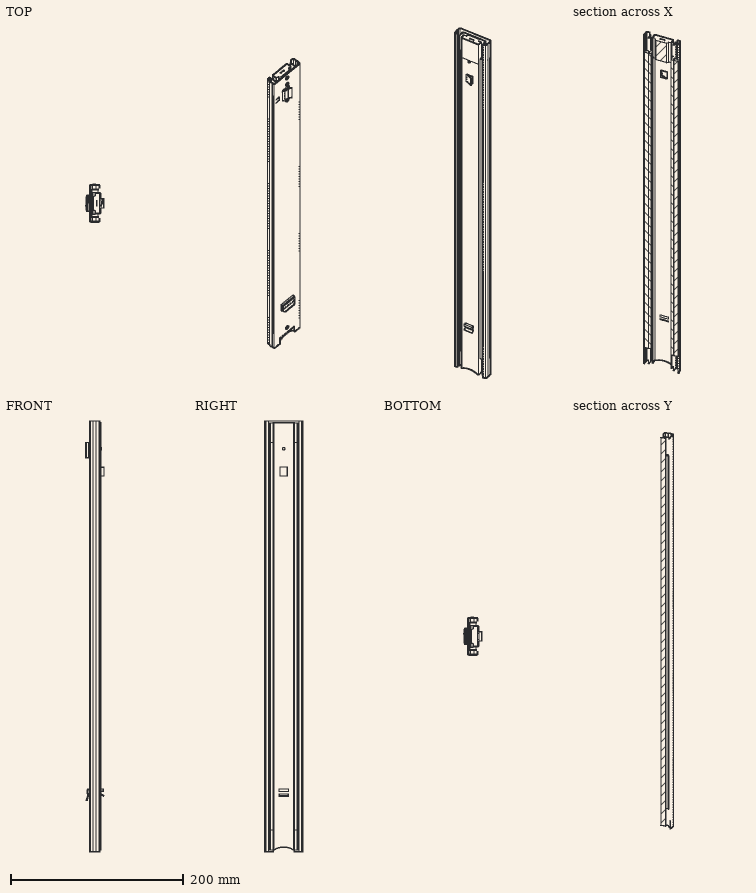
import cadquery as cq
import math

LENGTH = 500.0
SHEET = 1.2
RAIL_STEP = 1.75

OVERALL_X = 21.5
HOOK_REACH = OVERALL_X / 2

OUTER_BACK = -6.0
OUTER_FRONT = 6.0
FLANGE_Y = 22.0
RACE_Y = 22.5
RACE_START = -2.25
RACE_END = 1.5
OUTER_BEND = 1.8
LIP_Y = 17.5
NOTCH_HALF = 12.0
NOTCH_HEIGHT = 10.5

ARCH_HALF = 11.0

MIDDLE_BACK = OUTER_BACK + RAIL_STEP
MIDDLE_FRONT = 4.5
MIDDLE_HALF = 16.5
MIDDLE_BEND = 1.5
MIDDLE_TOP = 247.5
MIDDLE_BOTTOM = -248.0
MIDDLE_ARCH_HEIGHT = 4.0

INNER_FRONT = 7.0
INNER_BACK = 0.5
INNER_HALF = 12.5
INNER_BEND = 1.5
INNER_LENGTH = 495.5
INNER_ARCH_HEIGHT = 3.0

RETAINER_LENGTH = 450.0
OUTER_RETAINER_BACK = -3.0
OUTER_RETAINER_FRONT = 1.5
INNER_RETAINER_WEB = 0.75
INNER_RETAINER_FRONT = 4.0

BLOCK_BACK = -2.0
BLOCK_BACK_HALF = 8.5
BLOCK_CHAMFER = 1.5
BLOCK_TOP = INNER_LENGTH / 2
BLOCK_HEIGHT = 30.0
SLOT_X = 2.25
SLOT_WIDTH = 1.0
SLOT_LENGTH = 6.0
SLOT_DEPTH = 5.0

HOLE_DIAMETER = 5.0
PILOT_DIAMETER = 3.0
PLAIN_HOLES = [230.5, 200.5]
PILOT_HOLES = [242.5, -230.5]

POCKET_SIZE = 6.0
POCKET_DEPTH = 0.85
POCKET_Y = 16.5
POCKET_Z = 216.0

BACK_HOOK_Z = 216.0
BACK_HOOK_LENGTH = 18.0
BACK_HOOK_PATH = [(OUTER_BACK, 9.0), (OUTER_BACK, 8.0), (-8.0, 6.0), (-8.5, 1.0), (-HOOK_REACH, -3.0)]

FRONT_HOOK_Z = 191.0
FRONT_HOOK_LENGTH = 10.5
FRONT_HOOK_PATH = [(INNER_FRONT, -5.5), (INNER_FRONT, -4.5), (HOOK_REACH, 4.0)]

SPRING_HALF = 9.5
SPRING_PATH = [(OUTER_BACK, -177.0), (-8.0, -177.0), (-9.0, -178.5), (-8.5, -185.5), (-10.0, -190.5)]
SPRING_CORNER = 3.5

INNER_TAB_HALF = 5.5
LEDGE_PATH = [(INNER_FRONT - SHEET / 2, -177.0), (10.0, -177.0)]
LEDGE_THICKNESS = 3.0
SLOPED_TAB_PATH = [(INNER_FRONT - SHEET / 2, -182.5), (HOOK_REACH, -184.5)]

STUD_DIAMETER = 3.0
STUD_HEIGHT = 1.0
STUD_Z = 217.5


def box(x_range, y_range, z_range):
    """Box between the given limits, each a (low, high) pair."""
    sizes = [high - low for low, high in (x_range, y_range, z_range)]
    corner = (x_range[0], y_range[0], z_range[0])
    return cq.Workplane("XY").box(*sizes, centered=False).translate(corner)


def centred(length, middle=0.0):
    """Limits of a length centred on the given place."""
    return (middle - length / 2, middle + length / 2)


def x_cylinder(diameter, x_range, z):
    """Cylinder along X in the plane y = 0."""
    disc = cq.Workplane("YZ", origin=(x_range[0], 0, z)).circle(diameter / 2)
    return disc.extrude(x_range[1] - x_range[0])


def offset_path(path, distance):
    """Open path moved sideways to its left by the distance, with mitred corners."""
    angles = [math.atan2(v1 - v0, u1 - u0) for (u0, v0), (u1, v1) in zip(path, path[1:])]
    moved = []
    for (u, v), before, after in zip(path, angles[:1] + angles, angles + angles[-1:]):
        middle = (before + after) / 2
        reach = distance / math.cos((after - before) / 2)
        moved.append((u - reach * math.sin(middle), v + reach * math.cos(middle)))
    return moved


def bent_strip(plane, path, thickness, half_length):
    """Sheet strip with one face on the path and its thickness to the path's left."""
    outline = path + offset_path(path, thickness)[::-1]
    return cq.Workplane(plane).polyline(outline).close().extrude(half_length, both=True)


def raise_hook(rail, path, web_x_range, z, length):
    """Rail with a window in its web and, over the window, a hook bent along the path."""
    window_y = sorted((path[1][1], path[-1][1]))
    window = box(web_x_range, window_y, centred(length, z))
    hook = bent_strip("XY", path, SHEET, length / 2).translate((0, 0, z))
    return rail.cut(window).union(hook)


def race_segment(side, base_y):
    """Full-length race bulge of circular-segment section, standing on the plane |y| = base_y."""
    crown = ((RACE_START + RACE_END) / 2, side * (base_y + RACE_Y - FLANGE_Y))
    return (
        cq.Workplane("XY", origin=(0, 0, -LENGTH / 2))
        .moveTo(RACE_START, side * base_y)
        .threePointArc(crown, (RACE_END, side * base_y))
        .close()
        .extrude(LENGTH)
    )


def make_spring_tab():
    """Spring tab with its lower corners rounded."""
    tab = bent_strip("XZ", SPRING_PATH, SHEET, SPRING_HALF)
    (root_x, root_z), (tip_x, tip_z) = SPRING_PATH[0], SPRING_PATH[-1]
    limits = box((tip_x, root_x), (-SPRING_HALF, SPRING_HALF), (tip_z, root_z))
    return tab.intersect(limits.faces("<Z").edges("|X").fillet(SPRING_CORNER))


def make_pocket_wedge():
    """Wedge that cuts the sloping square pocket."""
    low_y, high_y = centred(POCKET_SIZE, POCKET_Y)
    corners = [(OUTER_BACK, high_y), (OUTER_BACK, low_y), (OUTER_BACK + POCKET_DEPTH, low_y)]
    low_z, high_z = centred(POCKET_SIZE, POCKET_Z)
    base = cq.Workplane("XY", origin=(0, 0, low_z))
    return base.polyline(corners).close().extrude(high_z - low_z)


def make_outer_rail():
    """C-section rail with races, bottom notch, holes, hook and spring tab."""
    z_range = centred(LENGTH)
    cavity_y = FLANGE_Y - SHEET
    web = (OUTER_BACK, OUTER_BACK + SHEET)
    rail = box((OUTER_BACK, OUTER_FRONT), (-FLANGE_Y, FLANGE_Y), z_range)
    rail = rail.edges("|Z").fillet(OUTER_BEND)
    rail = rail.cut(box((web[1], OUTER_FRONT - SHEET), (-cavity_y, cavity_y), z_range))
    rail = rail.cut(box((0, OUTER_FRONT), (-LIP_Y, LIP_Y), z_range))
    for side in (1, -1):
        rail = rail.union(race_segment(side, FLANGE_Y)).cut(race_segment(side, cavity_y))

    bottom = -LENGTH / 2
    rail = rail.cut(box(web, (-NOTCH_HALF, NOTCH_HALF), (bottom, bottom + NOTCH_HEIGHT)))
    for z in PLAIN_HOLES + PILOT_HOLES:
        rail = rail.cut(x_cylinder(HOLE_DIAMETER, web, z))
    rail = rail.cut(make_pocket_wedge())
    rail = raise_hook(rail, BACK_HOOK_PATH, web, BACK_HOOK_Z, BACK_HOOK_LENGTH)

    spring_z = (SPRING_PATH[-1][1], SPRING_PATH[0][1] - SHEET)
    rail = rail.cut(box(web, (-SPRING_HALF, SPRING_HALF), spring_z))
    return rail.union(make_spring_tab())


def make_arch(web_x_range, bottom, height):
    """Circular segment that cuts an arch into the bottom end of a web."""
    return (
        cq.Workplane("YZ", origin=(web_x_range[0], 0, 0))
        .moveTo(-ARCH_HALF, bottom)
        .threePointArc((0, bottom + height), (ARCH_HALF, bottom))
        .close()
        .extrude(web_x_range[1] - web_x_range[0])
    )


def make_middle_rail():
    """Channel nested in the outer rail, with pilot holes and an arched bottom end."""
    z_range = (MIDDLE_BOTTOM, MIDDLE_TOP)
    web = (MIDDLE_BACK, MIDDLE_BACK + SHEET)
    cavity_y = MIDDLE_HALF - SHEET
    rail = box((MIDDLE_BACK, MIDDLE_FRONT), (-MIDDLE_HALF, MIDDLE_HALF), z_range)
    rail = rail.faces("<X").edges("|Z").fillet(MIDDLE_BEND)
    rail = rail.cut(box((web[1], MIDDLE_FRONT), (-cavity_y, cavity_y), z_range))
    rail = rail.cut(make_arch(web, MIDDLE_BOTTOM, MIDDLE_ARCH_HEIGHT))
    for z in PILOT_HOLES:
        rail = rail.cut(x_cylinder(PILOT_DIAMETER, web, z))
    return rail


def make_inner_rail():
    """Channel open towards -X, with hook, ledge, sloped tab and stud on its web."""
    z_range = centred(INNER_LENGTH)
    web = (INNER_FRONT - SHEET, INNER_FRONT)
    cavity_y = INNER_HALF - SHEET
    rail = box((INNER_BACK, INNER_FRONT), (-INNER_HALF, INNER_HALF), z_range)
    rail = rail.faces(">X").edges("|Z").fillet(INNER_BEND)
    rail = rail.cut(box((INNER_BACK, web[0]), (-cavity_y, cavity_y), z_range))
    rail = rail.cut(make_arch(web, z_range[0], INNER_ARCH_HEIGHT))
    rail = raise_hook(rail, FRONT_HOOK_PATH, web, FRONT_HOOK_Z, FRONT_HOOK_LENGTH)
    rail = rail.union(bent_strip("XZ", LEDGE_PATH, -LEDGE_THICKNESS, INNER_TAB_HALF))
    rail = rail.union(bent_strip("XZ", SLOPED_TAB_PATH, -SHEET, INNER_TAB_HALF))
    return rail.union(x_cylinder(STUD_DIAMETER, (INNER_FRONT, INNER_FRONT + STUD_HEIGHT), STUD_Z))


def make_outer_retainer(side):
    """Straight retainer strip between the outer and middle flanges, on the side +1 or -1 in Y."""
    y_range = sorted((side * MIDDLE_HALF, side * (FLANGE_Y - SHEET)))
    return box((OUTER_RETAINER_BACK, OUTER_RETAINER_FRONT), y_range, centred(RETAINER_LENGTH))


def make_inner_retainer():
    """U-shaped retainer lining the middle rail, its legs outside the inner flanges."""
    outer_y = MIDDLE_HALF - SHEET
    z_range = centred(RETAINER_LENGTH)
    back = MIDDLE_BACK + SHEET
    retainer = box((back, INNER_RETAINER_FRONT), (-outer_y, outer_y), z_range)
    space_x = (back + INNER_RETAINER_WEB, INNER_RETAINER_FRONT)
    return retainer.cut(box(space_x, (-INNER_HALF, INNER_HALF), z_range))


def make_stop_block():
    """Block filling the inner channel, with a narrower chamfered back and a slot in its top."""
    z_range = (BLOCK_TOP - BLOCK_HEIGHT, BLOCK_TOP)
    front = INNER_FRONT - SHEET
    channel_half = INNER_HALF - SHEET
    block = box((BLOCK_BACK, front), (-BLOCK_BACK_HALF, BLOCK_BACK_HALF), z_range)
    block = block.faces("<X").edges("|Z").chamfer(BLOCK_CHAMFER)
    block = block.union(box((INNER_BACK, front), (-channel_half, channel_half), z_range))
    slot_z = (BLOCK_TOP - SLOT_DEPTH, BLOCK_TOP)
    return block.cut(box(centred(SLOT_WIDTH, SLOT_X), centred(SLOT_LENGTH), slot_z))


outer_rail = make_outer_rail()
middle_rail = make_middle_rail()
inner_rail = make_inner_rail()
outer_retainers = [make_outer_retainer(side) for side in (1, -1)]
inner_retainer = make_inner_retainer()
stop_block = make_stop_block()

result = cq.Compound.makeCompound(
    [
        outer_rail.val(),
        middle_rail.val(),
        inner_rail.val(),
        *[retainer.val() for retainer in outer_retainers],
        inner_retainer.val(),
        stop_block.val(),
    ]
)